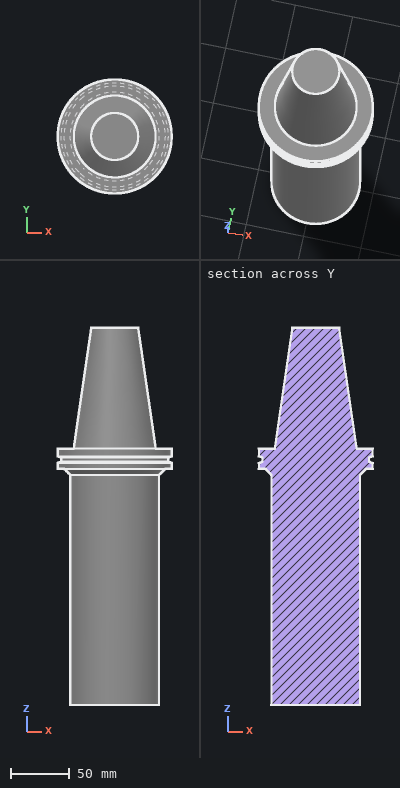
import cadquery as cq

total_height = 321.8
taper_length = 101.7
gauge_band_height = 1.3
flange_height = 17.5
upper_rim_height = 6.8
lower_rim_height = 5.0
groove_flank_height = 1.0

gauge_diameter = 69.8
flange_diameter = 97.5
groove_diameter = 91.5
shoulder_diameter = 86.2
body_diameter = 76.0

taper_ratio = 7 / 24
tip_diameter = gauge_diameter - taper_ratio * taper_length

gauge_level = total_height - taper_length
flange_top = gauge_level - gauge_band_height
flange_bottom = flange_top - flange_height
groove_top = flange_top - upper_rim_height
groove_bottom = flange_bottom + lower_rim_height

shoulder_bottom = flange_bottom - (shoulder_diameter - body_diameter) / 2

half_section = [
    (0, 0),
    (body_diameter, 0),
    (body_diameter, shoulder_bottom),
    (shoulder_diameter, flange_bottom),
    (flange_diameter, flange_bottom),
    (flange_diameter, groove_bottom),
    (groove_diameter, groove_bottom + groove_flank_height),
    (groove_diameter, groove_top - groove_flank_height),
    (flange_diameter, groove_top),
    (flange_diameter, flange_top),
    (gauge_diameter, flange_top),
    (gauge_diameter, gauge_level),
    (tip_diameter, total_height),
    (0, total_height),
]

outline = [(diameter / 2, level) for diameter, level in half_section]
result = cq.Workplane("XZ").polyline(outline).close().revolve(360, (0, 0, 0), (0, 1, 0))